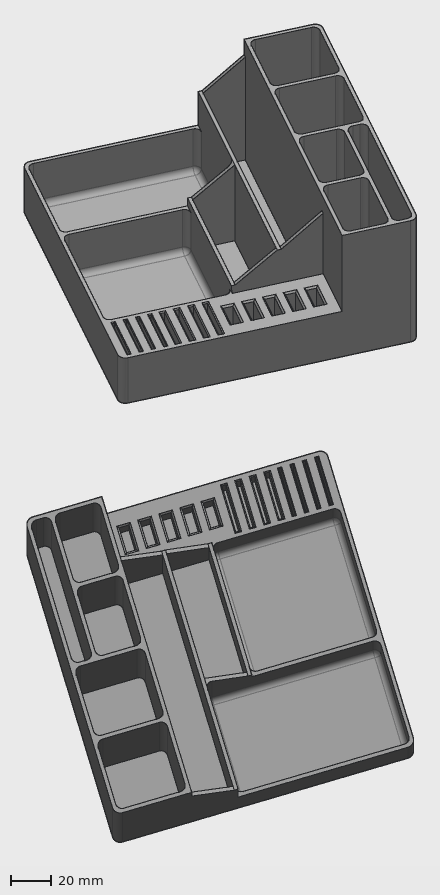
import cadquery as cq


SIDE = 156.0
HEIGHT = 80.0
BASE_HEIGHT = 30.0
WALL = 2.0
FLOOR = WALL
OUTER_RADIUS = 4.0
POCKET_RADIUS = 3.3

REAR_DEPTH = 40.0
REAR_POCKET_COUNT = 4
PEN_TRAY_DEPTH = 10.3

BIN_RIGHT = 126.0
UPPER_BIN_FRONT = 64.0
UPPER_BIN_HEIGHT = 52.1
UPPER_SLOPE_TOP = 69.9
LOWER_BIN_FRONT = 88.0
LOWER_BIN_HEIGHT = 35.1

LEFT_TRAY_RIGHT = 56.3

BEVEL_SIZE = 3.3
BEVEL_DEPTH = 0.6

SLOT_CENTER_X = 140.9
SLOT_DEPTH = 15.6
STICK_SLOT = dict(length=15.0, width=7.0, chamfer=1.0, first=48.8, pitch=10.9, count=5)
CARD_SLOT = dict(length=25.6, width=3.5, chamfer=0.6, first=102.3, pitch=7.5, count=4)
SMALL_CARD_SLOT = dict(length=25.6, width=2.2, chamfer=0.5, first=131.4, pitch=6.4, count=4)


def block(x0, x1, back, front, z0, z1):
    """Box between two X values, two distances from the rear face and two heights."""
    box = cq.Workplane("XY").box(x1 - x0, front - back, z1 - z0, centered=False)
    return box.translate((x0, SIDE - front, z0))


def side_profile(points, x0, x1):
    """Extrude a (distance from rear, height) outline along X."""
    outline = [(SIDE - distance, z) for distance, z in points]
    return cq.Workplane("YZ").polyline(outline).close().extrude(x1 - x0).translate((x0, 0, 0))


def stepped_bin(x0, back, front, slope_top, front_height):
    """Solid bin body whose top slopes down to a level front wall."""
    outline = [
        (back, 0),
        (back, slope_top),
        (front - WALL, front_height),
        (front, front_height),
        (front, 0),
    ]
    return side_profile(outline, x0, BIN_RIGHT)


def bin_cavity(x0, back, front):
    """Square-cornered space between the side walls and behind the front wall of a bin."""
    return block(x0 + WALL, BIN_RIGHT - WALL, back, front - WALL, FLOOR, HEIGHT)


def upright_pocket(x0, x1, back, front):
    """Pocket with rounded vertical corners, open at the top."""
    return block(x0, x1, back, front, FLOOR, HEIGHT).edges("|Z").fillet(POCKET_RADIUS)


def tray(x0, x1, back):
    """Front tray with rounded vertical corners and a rounded floor edge."""
    cavity = block(x0, x1, back, SIDE - WALL, FLOOR, HEIGHT)
    return cavity.edges("|Z or <Z").fillet(POCKET_RADIUS)


def slot(length, width, chamfer, distance):
    """Straight slot with a chamfered mouth in the top of the right-hand strip."""
    center = (SLOT_CENTER_X, SIDE - distance, BASE_HEIGHT)
    inner_length = length - 2 * chamfer
    inner_width = width - 2 * chamfer
    mouth = (
        cq.Workplane("XY")
        .rect(length, width)
        .workplane(offset=-chamfer)
        .rect(inner_length, inner_width)
        .loft()
    )
    shaft = cq.Workplane("XY").rect(inner_length, inner_width).extrude(-SLOT_DEPTH)
    return mouth.union(shaft).translate(center)


def wall_corner_bevel():
    """Tetrahedron removed where the lower bin's front wall meets the right-hand strip."""
    corner = cq.Vector(BIN_RIGHT, SIDE - LOWER_BIN_FRONT, BASE_HEIGHT)
    inward = corner + cq.Vector(-BEVEL_SIZE, 0, 0)
    upper = corner + cq.Vector(0, 0, BEVEL_SIZE)
    rear = corner + cq.Vector(0, BEVEL_DEPTH, 0)
    triangles = [
        (corner, inward, upper),
        (corner, upper, rear),
        (corner, rear, inward),
        (inward, rear, upper),
    ]
    faces = [cq.Face.makeFromWires(cq.Wire.makePolygon(points, close=True)) for points in triangles]
    return cq.Workplane(cq.Solid.makeSolid(cq.Shell.makeShell(faces)))


body = block(0, SIDE, 0, SIDE, 0, BASE_HEIGHT)
body = body.union(block(0, SIDE, 0, REAR_DEPTH, 0, HEIGHT))
body = body.edges("|Z and (<Y or >Y)").fillet(OUTER_RADIUS)
body = body.union(stepped_bin(0, REAR_DEPTH, UPPER_BIN_FRONT, UPPER_SLOPE_TOP, UPPER_BIN_HEIGHT))
lower_bin = stepped_bin(
    LEFT_TRAY_RIGHT - POCKET_RADIUS,
    UPPER_BIN_FRONT,
    LOWER_BIN_FRONT,
    UPPER_BIN_HEIGHT,
    LOWER_BIN_HEIGHT,
)
body = body.union(lower_bin)

rear_width = (SIDE - (REAR_POCKET_COUNT + 1) * WALL) / REAR_POCKET_COUNT
rear_front = REAR_DEPTH - WALL
pen_tray_front = WALL + PEN_TRAY_DEPTH
for i in range(REAR_POCKET_COUNT):
    left = WALL + i * (rear_width + WALL)
    back = WALL if i < REAR_POCKET_COUNT // 2 else pen_tray_front + WALL
    body = body.cut(upright_pocket(left, left + rear_width, back, rear_front))
body = body.cut(upright_pocket((SIDE + WALL) / 2, SIDE - WALL, WALL, pen_tray_front))

body = body.cut(bin_cavity(0, REAR_DEPTH, UPPER_BIN_FRONT))
body = body.cut(bin_cavity(LEFT_TRAY_RIGHT, UPPER_BIN_FRONT, LOWER_BIN_FRONT))
body = body.cut(tray(WALL, LEFT_TRAY_RIGHT, UPPER_BIN_FRONT))
body = body.cut(tray(LEFT_TRAY_RIGHT + WALL, BIN_RIGHT, LOWER_BIN_FRONT))
body = body.cut(wall_corner_bevel())

for group in (STICK_SLOT, CARD_SLOT, SMALL_CARD_SLOT):
    for i in range(group["count"]):
        distance = group["first"] + i * group["pitch"]
        body = body.cut(slot(group["length"], group["width"], group["chamfer"], distance))

result = body